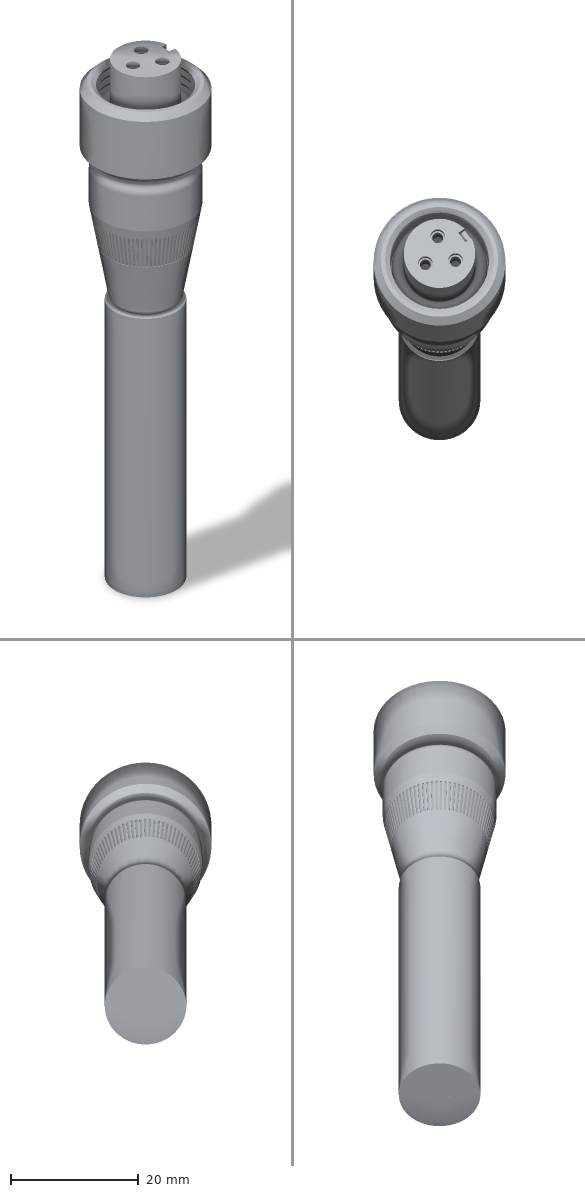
import cadquery as cq
import math

cable_bottom_z = 0.2
cable_top_z = 51.0
grip_straight_bottom_z = 68.5
grip_top_z = 76.3
flange_bottom_z = 83.3
flange_top_z = 86.8
total_height = 94.65

cable_radius = 12.8 / 2
neck_radius = cable_radius
grip_radius = 17.8 / 2
grip_end_radius = 11.8 / 2
insert_radius = 11.2 / 2
flange_radius = 7.5

stub_diameter = 0.2
stub_offset = 1.6

grip_shoulder_fillet = 1.4
grip_end_fillet = 1.2

serration_count = 75
serration_depth = 0.2
serration_bottom_z = 61.1
serration_top_z = 66.8

socket_count = 3
socket_circle_radius = 2.7
socket_mouth_diameter = 2.3
socket_mouth_depth = 0.9
socket_diameter = 1.7
socket_depth = 3.8
socket_tip_depth = 0.6

keyway_width = 1.9
keyway_floor_radius = 4.4
keyway_depth = 1.4

nut_diameter = 20.6
nut_bottom_z = 77.7
nut_top_z = 90.5
nut_chamfer = 1.1
thread_major_radius = 8.2
thread_minor_radius = 7.8
thread_mouth_radius = 8.5
thread_mouth_depth = 0.6
thread_pitch = 1.4
thread_count = 4


def revolve_about_z(profile):
    """Turn a closed (radius, height) profile on the XZ plane a full turn about Z."""
    return profile.close().revolve(360, (0, 0, 0), (0, 1, 0))


taper_bottom_z = cable_top_z + grip_end_fillet
taper_slope = (grip_radius - grip_end_radius) / (grip_straight_bottom_z - taper_bottom_z)


def taper_radius(z):
    """Radius of the tapered grip at height z."""
    return grip_end_radius + taper_slope * (z - taper_bottom_z)


def plug_blank():
    """Cable, grip, neck, flange and insert as one turned shape."""
    diagonal = math.sqrt(0.5)
    shoulder_centre_r = grip_radius - grip_shoulder_fillet
    shoulder_centre_z = grip_top_z - grip_shoulder_fillet
    end_centre_r = grip_end_radius - grip_end_fillet
    flange_round = (flange_radius - insert_radius) / 2
    profile = (
        cq.Workplane("XZ")
        .moveTo(0, cable_bottom_z)
        .lineTo(cable_radius, cable_bottom_z)
        .lineTo(cable_radius, cable_top_z)
        .lineTo(end_centre_r, cable_top_z)
        .threePointArc(
            (end_centre_r + diagonal * grip_end_fillet, taper_bottom_z - diagonal * grip_end_fillet),
            (grip_end_radius, taper_bottom_z),
        )
        .lineTo(grip_radius, grip_straight_bottom_z)
        .lineTo(grip_radius, shoulder_centre_z)
        .threePointArc(
            (
                shoulder_centre_r + diagonal * grip_shoulder_fillet,
                shoulder_centre_z + diagonal * grip_shoulder_fillet,
            ),
            (shoulder_centre_r, grip_top_z),
        )
        .lineTo(neck_radius, grip_top_z)
        .lineTo(neck_radius, flange_bottom_z)
        .lineTo(flange_radius, flange_bottom_z)
        .lineTo(flange_radius, flange_top_z - flange_round)
        .threePointArc(
            (flange_radius - flange_round, flange_top_z),
            (insert_radius, flange_top_z - flange_round),
        )
        .lineTo(insert_radius, total_height)
        .lineTo(0, total_height)
    )
    return revolve_about_z(profile)


def serration_cutters():
    """Slots of even depth down the taper, as wide as the teeth at mid height, all round the grip."""
    mid_radius = taper_radius((serration_bottom_z + serration_top_z) / 2)
    slot_width = math.pi * mid_radius / serration_count
    slot = (
        cq.Workplane("XZ")
        .moveTo(taper_radius(serration_bottom_z) - serration_depth, serration_bottom_z)
        .lineTo(grip_radius, serration_bottom_z)
        .lineTo(grip_radius, serration_top_z)
        .lineTo(taper_radius(serration_top_z) - serration_depth, serration_top_z)
        .close()
        .extrude(slot_width / 2, both=True)
    )
    slots = []
    for index in range(serration_count):
        angle = index * 360 / serration_count
        slots.append(slot.rotate((0, 0, 0), (0, 0, 1), angle).val())
    return cq.Compound.makeCompound(slots)


def socket_cutter():
    """One contact socket at the origin, mouth upward: wide mouth, narrower bore, conical end."""
    mouth_radius = socket_mouth_diameter / 2
    bore_radius = socket_diameter / 2
    profile = (
        cq.Workplane("XZ")
        .lineTo(mouth_radius, 0)
        .lineTo(mouth_radius, -socket_mouth_depth)
        .lineTo(bore_radius, -socket_mouth_depth)
        .lineTo(bore_radius, -socket_depth)
        .lineTo(0, -socket_depth - socket_tip_depth)
    )
    return revolve_about_z(profile)


def make_plug():
    """Plug moulded onto its cable, with serrated grip, sockets, keyway and wire stub."""
    plug = plug_blank().cut(cq.Workplane(obj=serration_cutters()))
    for index in range(socket_count):
        angle = -math.pi / 2 + index * 2 * math.pi / socket_count
        x = socket_circle_radius * math.cos(angle)
        y = socket_circle_radius * math.sin(angle)
        plug = plug.cut(socket_cutter().translate((x, y, total_height)))
    keyway_length = insert_radius - keyway_floor_radius
    keyway = (
        cq.Workplane("XY")
        .box(keyway_width, keyway_length, keyway_depth, centered=(True, False, False))
        .translate((0, keyway_floor_radius, total_height - keyway_depth))
    )
    stub = cq.Workplane("XY").center(-stub_offset, 0).circle(stub_diameter / 2).extrude(cable_bottom_z)
    return plug.cut(keyway).union(stub)


def make_nut():
    """Coupling nut: chamfered sleeve turning on the neck below the flange, threaded at its mouth."""
    outer_radius = nut_diameter / 2
    profile = (
        cq.Workplane("XZ")
        .moveTo(neck_radius, nut_bottom_z)
        .lineTo(outer_radius - nut_chamfer, nut_bottom_z)
        .lineTo(outer_radius, nut_bottom_z + nut_chamfer)
        .lineTo(outer_radius, nut_top_z - nut_chamfer)
        .lineTo(outer_radius - nut_chamfer, nut_top_z)
        .lineTo(thread_mouth_radius, nut_top_z)
        .lineTo(thread_minor_radius, nut_top_z - thread_mouth_depth)
    )
    for index in range(thread_count):
        crest_z = nut_top_z - thread_mouth_depth - index * thread_pitch
        profile = profile.lineTo(thread_major_radius, crest_z - thread_pitch / 2)
        profile = profile.lineTo(thread_minor_radius, crest_z - thread_pitch)
    profile = profile.lineTo(thread_minor_radius, flange_bottom_z).lineTo(neck_radius, flange_bottom_z)
    return revolve_about_z(profile)


plug = make_plug()
nut = make_nut()

result = cq.Compound.makeCompound([plug.solids().val(), nut.solids().val()])